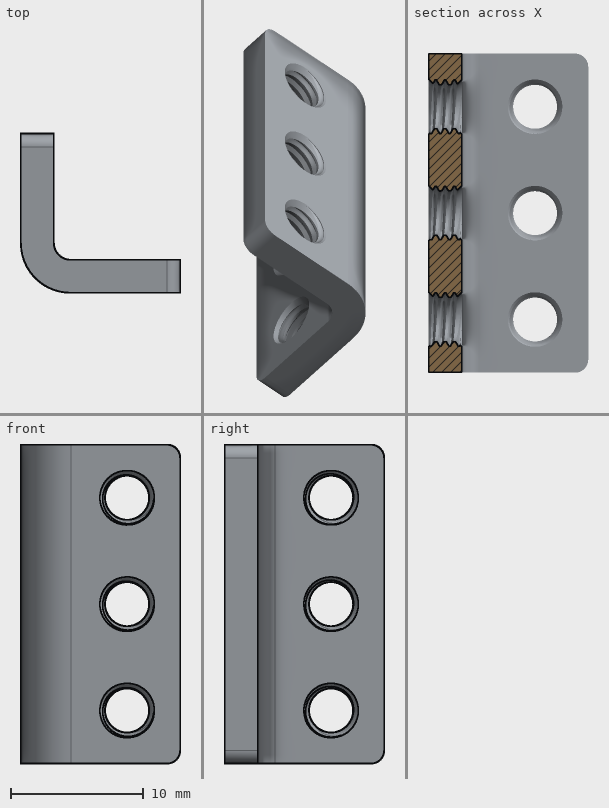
import cadquery as cq
import math

leg_length = 12.0
height = 24.0
thickness = 2.5
inner_bend_radius = 1.25
outer_bend_radius = inner_bend_radius + thickness
corner_radius = 1.0

hole_count = 3
hole_pitch = height / hole_count
hole_offset = 8.0
major_diameter = 4.0
minor_diameter = 3.3
thread_pitch = 0.7
flank_angle = math.radians(30)
root_flat = thread_pitch / 8
blank_radius = major_diameter
core_overlap = 0.1
mouth_diameter = 4.1
mouth_depth = (mouth_diameter - minor_diameter) / 2


def make_bracket():
    """L-shaped bar along Z with its free corners rounded."""
    profile = (
        cq.Workplane("XY")
        .moveTo(0, 0)
        .lineTo(leg_length, 0)
        .lineTo(leg_length, thickness)
        .lineTo(thickness, thickness)
        .lineTo(thickness, leg_length)
        .lineTo(0, leg_length)
        .close()
    )
    bar = profile.extrude(height)
    outside_corner = cq.selectors.NearestToPointSelector((0, 0, height / 2))
    inside_corner = cq.selectors.NearestToPointSelector((thickness, thickness, height / 2))
    bar = bar.edges(outside_corner).fillet(outer_bend_radius)
    bar = bar.edges(inside_corner).fillet(inner_bend_radius)
    bar = bar.faces(">X").edges("|Y").fillet(corner_radius)
    return bar.faces(">Y").edges("|X").fillet(corner_radius)


def make_thread_turn():
    """Cutter for a single turn of the thread, climbing along Z from the start of a hole."""
    root_radius = major_diameter / 2
    inner_radius = minor_diameter / 2 - core_overlap
    half_root = root_flat / 2
    half_mouth = half_root + (root_radius - inner_radius) * math.tan(flank_angle)
    helix = cq.Wire.makeHelix(thread_pitch, thread_pitch, inner_radius)
    outline = [
        (inner_radius, -half_mouth),
        (root_radius, -half_root),
        (root_radius, half_root),
        (inner_radius, half_mouth),
    ]
    profile = cq.Workplane("XZ").polyline(outline).close()
    return profile.sweep(cq.Workplane(obj=helix), isFrenet=True)


def make_core():
    """Drilled hole with a chamfered mouth at each end, along Z from 0 to the leg thickness."""
    core_radius = minor_diameter / 2
    mouth_radius = mouth_diameter / 2
    outline = [
        (0, 0),
        (mouth_radius, 0),
        (core_radius, mouth_depth),
        (core_radius, thickness - mouth_depth),
        (mouth_radius, thickness),
        (0, thickness),
    ]
    return cq.Workplane("XZ").polyline(outline).close().revolve(360, (0, 0), (0, 1))


def make_tapped_hole():
    """Complete cutter for one threaded hole, its thread starting on the +X side."""
    blank = cq.Workplane("XY").circle(blank_radius).extrude(thickness)
    tapped = blank.cut(make_core())
    turn = make_thread_turn()
    for index in range(math.ceil(thickness / thread_pitch)):
        tapped = tapped.cut(turn.translate((0, 0, index * thread_pitch)))
    return blank.cut(tapped)


def to_front_leg(cutter, z):
    """Lay the cutter along +Y in the leg on the XZ plane, thread starting toward the free edge."""
    return cutter.rotate((0, 0, 0), (1, 0, 0), -90).translate((hole_offset, 0, z))


def to_side_leg(cutter, z):
    """Lay the cutter along +X in the leg on the YZ plane, thread starting upward."""
    start_up = cutter.rotate((0, 0, 0), (0, 0, 1), 180)
    return start_up.rotate((0, 0, 0), (0, 1, 0), 90).translate((0, hole_offset, z))


result = make_bracket()
tapped_hole = make_tapped_hole()
for hole_index in range(hole_count):
    hole_height = hole_pitch * (hole_index + 0.5)
    result = result.cut(to_front_leg(tapped_hole, hole_height))
    result = result.cut(to_side_leg(tapped_hole, hole_height))